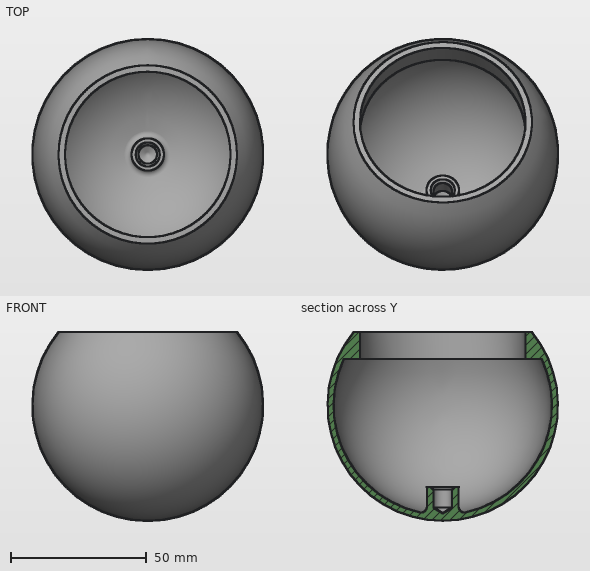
import cadquery as cq
import math

outer_radius = 42.5
wall = 2.4
rim_height = 27.0
collar_depth = 10.0
boss_radius = 5.95
boss_height = 10.2
boss_fillet = 2.0
hole_radius = 3.4
hole_chamfer = 1.0
hole_depth = 7.65
hole_tip_angle = 118.0

cavity_radius = outer_radius - wall
rim_radius = math.sqrt(outer_radius**2 - rim_height**2)
mouth_radius = rim_radius - wall
collar_bottom = rim_height - collar_depth
cavity_top_radius = math.sqrt(cavity_radius**2 - collar_bottom**2)
boss_top = boss_height - cavity_radius
hole_end = boss_top - hole_depth
hole_tip = hole_end - hole_radius / math.tan(math.radians(hole_tip_angle / 2))

AXIS_START = (0, 0)
AXIS_END = (0, 1)


def revolved(profile):
    """Turn a closed radius-height half outline about the Z axis."""
    return profile.close().revolve(360, AXIS_START, AXIS_END)


def make_ball():
    """Solid ball cut flat at the rim."""
    return revolved(
        cq.Workplane("YZ")
        .moveTo(0, -outer_radius)
        .threePointArc((outer_radius, 0), (rim_radius, rim_height))
        .lineTo(0, rim_height)
    )


def make_cavity():
    """Spherical hollow, entered through a straight mouth inside a thick collar."""
    return revolved(
        cq.Workplane("YZ")
        .moveTo(0, -cavity_radius)
        .threePointArc((cavity_radius, 0), (cavity_top_radius, collar_bottom))
        .lineTo(mouth_radius, collar_bottom)
        .lineTo(mouth_radius, rim_height)
        .lineTo(0, rim_height)
    )


def make_boss():
    """Round post on the cavity floor with a concave fillet round its foot."""
    centre_r = boss_radius + boss_fillet
    centre_z = -math.sqrt((cavity_radius - boss_fillet) ** 2 - centre_r**2)
    foot_angle = math.atan2(centre_z, centre_r)
    foot = (cavity_radius * math.cos(foot_angle), cavity_radius * math.sin(foot_angle))
    middle_angle = (foot_angle - math.pi) / 2
    middle = (centre_r + boss_fillet * math.cos(middle_angle),
              centre_z + boss_fillet * math.sin(middle_angle))
    root = wall / 2 - outer_radius
    return revolved(
        cq.Workplane("YZ")
        .moveTo(0, root)
        .lineTo(0, boss_top)
        .lineTo(boss_radius, boss_top)
        .lineTo(boss_radius, centre_z)
        .threePointArc(middle, foot)
        .lineTo(foot[0], root)
    )


def make_hole():
    """Blind drilled hole with a 45 degree chamfer at its mouth and a conical tip."""
    return revolved(
        cq.Workplane("YZ")
        .moveTo(0, boss_top)
        .lineTo(hole_radius + hole_chamfer, boss_top)
        .lineTo(hole_radius, boss_top - hole_chamfer)
        .lineTo(hole_radius, hole_end)
        .lineTo(0, hole_tip)
    )


result = make_ball().cut(make_cavity()).union(make_boss()).cut(make_hole())